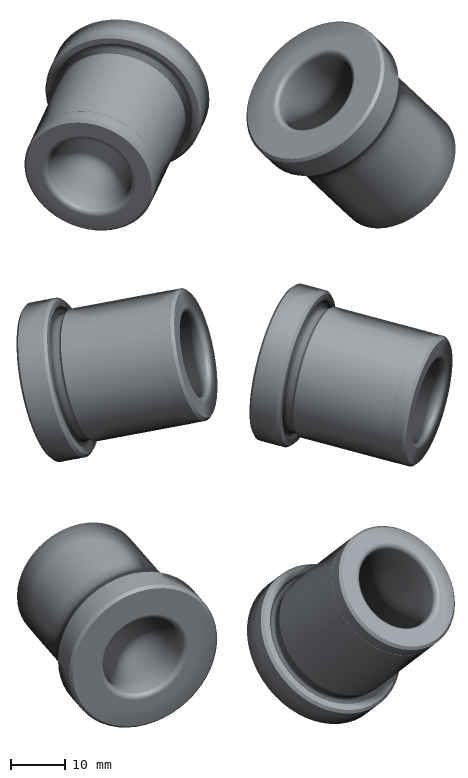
import cadquery as cq

length = 30.0
flange_diameter = 30.0
flange_thickness = 6.0
body_diameter = 25.0
neck_diameter = 24.0
neck_length = 1.5
bore_diameter = 16.0
lead_in_diameter = 24.93
lead_in_length = 3.0
relief_diameter = 26.65
edge_chamfer = 0.5
bore_fillet = 1.0

flange_radius = flange_diameter / 2
body_radius = body_diameter / 2
neck_radius = neck_diameter / 2
bore_radius = bore_diameter / 2
lead_in_radius = lead_in_diameter / 2
relief_radius = relief_diameter / 2
shoulder = length - flange_thickness
neck_start = shoulder - neck_length
neck_taper = body_radius - neck_radius

relief_depth = neck_taper
relief_floor = shoulder + relief_depth
root_fillet = relief_depth

section = (
    cq.Workplane("XY")
    .moveTo(bore_radius + bore_fillet, 0)
    .lineTo(lead_in_radius - edge_chamfer, 0)
    .lineTo(lead_in_radius, edge_chamfer)
    .lineTo(lead_in_radius, lead_in_length)
    .lineTo(body_radius, lead_in_length)
    .lineTo(body_radius, neck_start - neck_taper)
    .lineTo(neck_radius, neck_start)
    .lineTo(neck_radius, relief_floor - root_fillet)
    .radiusArc((neck_radius + root_fillet, relief_floor), root_fillet)
    .lineTo(relief_radius - relief_depth, relief_floor)
    .lineTo(relief_radius, shoulder)
    .lineTo(flange_radius - edge_chamfer, shoulder)
    .lineTo(flange_radius, shoulder + edge_chamfer)
    .lineTo(flange_radius, length - edge_chamfer)
    .lineTo(flange_radius - edge_chamfer, length)
    .lineTo(bore_radius + bore_fillet, length)
    .radiusArc((bore_radius, length - bore_fillet), -bore_fillet)
    .lineTo(bore_radius, bore_fillet)
    .radiusArc((bore_radius + bore_fillet, 0), -bore_fillet)
    .close()
)

result = section.revolve(360, (0, 0, 0), (0, 1, 0))